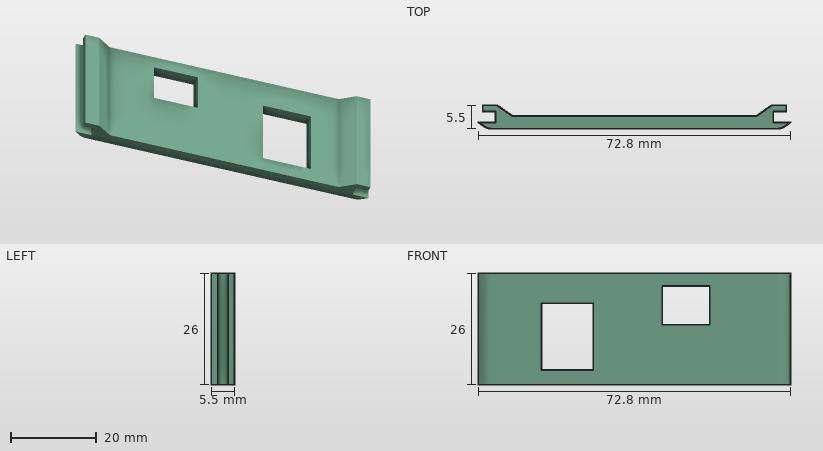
import cadquery as cq
import math

width = 72.8
depth = 5.5
height = 26.0
half_width = width / 2

slope_angle = math.radians(35)

plate_thickness = 3.0
lip_thickness = 1.5
bevel_blend_radius = 3.0

slot_width = 2.5
slot_floor_inset = 4.0
hook_inset = 1.0
hook_flat_length = 3.4
ramp_run = (depth - plate_thickness) / math.tan(slope_angle)

large_window = (-15.6, -1.75, 12.0, 15.5)
small_window = (12.0, 5.5, 11.0, 9.0)


def profile_half():
    """Right half of the cross-section, closed along the YZ mid-plane."""
    hook_front = lip_thickness + slot_width
    slot_floor = half_width - slot_floor_inset
    hook_end = half_width - hook_inset
    ramp_top = hook_end - hook_flat_length
    ramp_foot = ramp_top - ramp_run

    corner_x = half_width - lip_thickness / math.tan(slope_angle)
    blend_start_x = corner_x - bevel_blend_radius * math.tan(slope_angle / 2)

    def blend_point(angle):
        return (
            blend_start_x + bevel_blend_radius * math.sin(angle),
            bevel_blend_radius * (1 - math.cos(angle)),
        )

    return (
        cq.Workplane("XY")
        .moveTo(0, 0)
        .lineTo(blend_start_x, 0)
        .threePointArc(blend_point(slope_angle / 2), blend_point(slope_angle))
        .lineTo(half_width, lip_thickness)
        .lineTo(slot_floor, lip_thickness)
        .lineTo(slot_floor, hook_front)
        .lineTo(hook_end, hook_front)
        .lineTo(hook_end, depth)
        .lineTo(ramp_top, depth)
        .lineTo(ramp_foot, plate_thickness)
        .lineTo(0, plate_thickness)
        .close()
    )


def panel_body():
    """Full panel, symmetric about X = 0 and centred on Z = 0."""
    right_half = profile_half().extrude(height / 2, both=True)
    return right_half.union(right_half.mirror("YZ")).clean()


def window_cutter(center_x, center_z, size_x, size_z):
    """Block that cuts a rectangular window through the whole depth."""
    return cq.Workplane("XY").box(size_x, 2 * depth, size_z).translate((center_x, 0, center_z))


result = panel_body()
for window in (large_window, small_window):
    result = result.cut(window_cutter(*window))